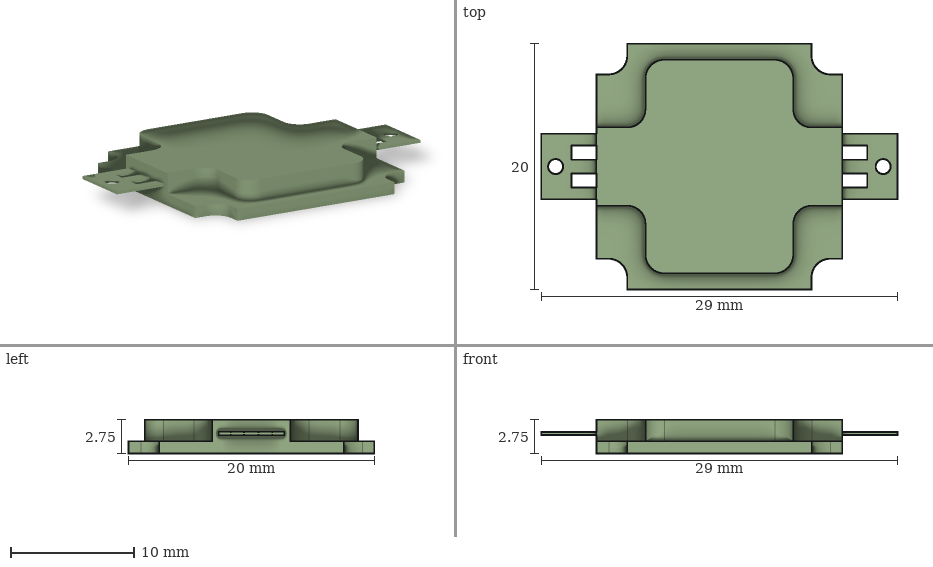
import cadquery as cq

plate_size = 20.0
plate_thickness = 1.0
notch_size = 2.5
corner_radius = 1.5

total_height = 2.75
housing_thickness = total_height - plate_thickness
housing_width = 12.0
housing_length = 17.35
arm_width = 6.36

tab_span = 28.98
tab_width = 5.34
tab_thickness = 0.25
tab_bottom = 1.5
tab_hole_diameter = 1.2
tab_hole_margin = 1.18
slot_length = 2.0
slot_width = 1.13
slot_pitch = 2 * slot_width

plate_edge = plate_size / 2
tab_tip = tab_span / 2
tab_length = tab_tip - plate_edge


def round_upright_edges(body):
    """Round the upright edges of a body, except those on the outer sides of the plate."""
    limit = plate_edge - corner_radius / 2
    inside_plate = cq.selectors.BoxSelector((-limit, -limit, 0), (limit, limit, total_height))
    return body.edges("|Z").edges(inside_plate).fillet(corner_radius)


def make_plate():
    """Square plate with a notch at each corner, rounded at its inner corner."""
    clear_width = plate_size - 2 * notch_size
    base = cq.Workplane("XY")
    along_x = base.rect(plate_size, clear_width).extrude(plate_thickness)
    along_y = base.rect(clear_width, plate_size).extrude(plate_thickness)
    return round_upright_edges(along_x.union(along_y))


def make_housing():
    """Rounded block with two arms that blend into it and reach the plate edges."""
    base = cq.Workplane("XY", origin=(0, 0, plate_thickness))
    block = base.rect(housing_width, housing_length).extrude(housing_thickness)
    arms = base.rect(plate_size, arm_width).extrude(housing_thickness)
    return round_upright_edges(block.union(arms))


def tab_plane(x):
    """Sketch plane at the underside of the tabs, centred at the given X."""
    return cq.Workplane("XY", origin=(x, 0, tab_bottom))


def make_tab(side):
    """Thin terminal tab on the +X (side = 1) or -X (side = -1) edge."""
    tab_centre = side * (plate_edge + tab_length / 2)
    hole_centre = side * (tab_tip - tab_hole_margin)
    slot_centre = side * (plate_edge + slot_length / 2)

    tab = tab_plane(tab_centre).rect(tab_length, tab_width).extrude(tab_thickness)
    hole = tab_plane(hole_centre).circle(tab_hole_diameter / 2).extrude(tab_thickness)
    slot_centres = tab_plane(slot_centre).rarray(slot_pitch, slot_pitch, 1, 2)
    slots = slot_centres.rect(slot_length, slot_width).extrude(tab_thickness)
    return tab.cut(hole).cut(slots)


result = make_plate().union(make_housing())
for tab_side in (-1, 1):
    result = result.union(make_tab(tab_side))